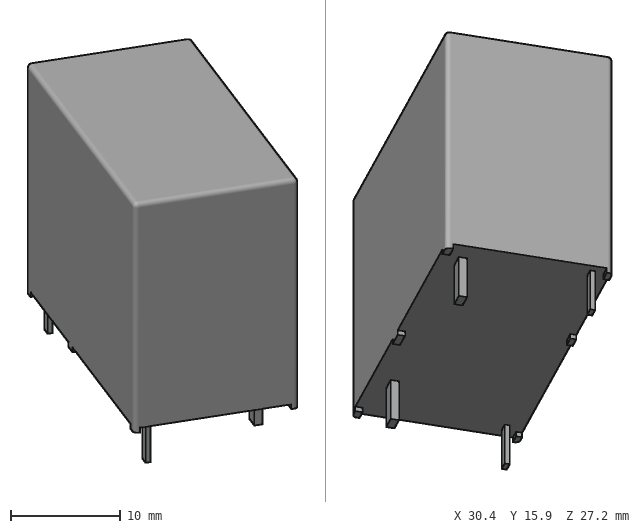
import cadquery as cq


length = 30.4
width = 15.9
total_height = 27.2
pin_drop = 3.7
case_top = total_height - pin_drop
edge_radius = 0.45
foot_height = 0.5

left_foot_length = 1.2
right_foot_length = 1.05
front_foot_width = 0.58
rear_foot_width = 0.7

front_tab_x = -2.8
front_tab_length = 1.2
rear_tab_x = 1.28
rear_tab_length = 1.65

front_pin_centers_x = (-13.9, 13.75)
front_pin_y = -6.25
front_pin_length = 1.0
front_pin_width = 0.5
rear_pin_centers_x = (-12.45, 9.58)
rear_pin_y = 5.75
rear_pin_length = 1.5
rear_pin_width = 0.8


def block(x_min, x_max, y_min, y_max, z_min, z_max):
    """Box between opposite corners."""
    size = (x_max - x_min, y_max - y_min, z_max - z_min)
    return cq.Workplane("XY").box(*size, centered=False).translate((x_min, y_min, z_min))


def underside_gap():
    """Everything removed below the base, which leaves the feet and tabs standing."""
    x_left = -length / 2
    x_right = length / 2
    y_front = -width / 2
    y_rear = width / 2
    gap = block(x_left, x_right, y_front, y_rear, 0, foot_height)

    foot_x_spans = (
        (x_left, x_left + left_foot_length),
        (x_right - right_foot_length, x_right),
    )
    front_tab_span = (front_tab_x - front_tab_length / 2, front_tab_x + front_tab_length / 2)
    rear_tab_span = (rear_tab_x - rear_tab_length / 2, rear_tab_x + rear_tab_length / 2)

    for x_min, x_max in (*foot_x_spans, front_tab_span):
        gap = gap.cut(block(x_min, x_max, y_front, y_front + front_foot_width, 0, foot_height))
    for x_min, x_max in (*foot_x_spans, rear_tab_span):
        gap = gap.cut(block(x_min, x_max, y_rear - rear_foot_width, y_rear, 0, foot_height))
    return gap


def case():
    """Solid case with rounded upright and top edges, standing on its feet."""
    body = cq.Workplane("XY").box(length, width, case_top, centered=(True, True, False))
    body = body.edges("|Z or >Z").fillet(edge_radius)
    return body.cut(underside_gap())


def pin_row(centers_x, center_y, pin_length, pin_width):
    """Flat pins hanging from the base at the given X positions."""
    points = [(x, center_y) for x in centers_x]
    pin_height = pin_drop + foot_height
    return (
        cq.Workplane("XY", origin=(0, 0, -pin_drop))
        .pushPoints(points)
        .rect(pin_length, pin_width)
        .extrude(pin_height)
    )


front_pins = pin_row(front_pin_centers_x, front_pin_y, front_pin_length, front_pin_width)
rear_pins = pin_row(rear_pin_centers_x, rear_pin_y, rear_pin_length, rear_pin_width)

result = case().union(front_pins).union(rear_pins)